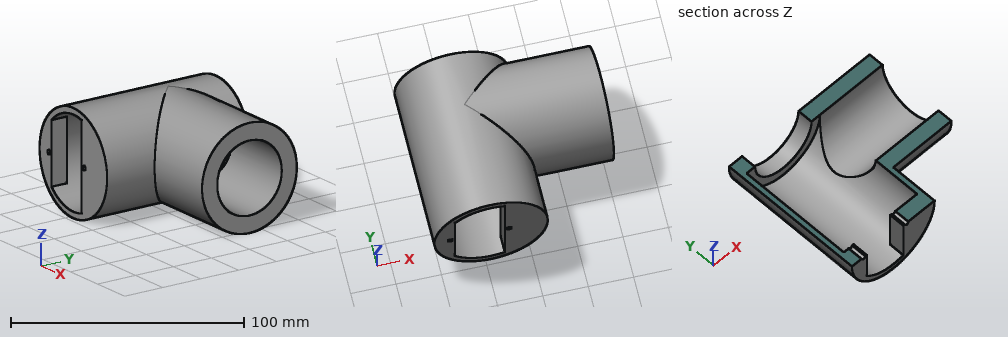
import cadquery as cq

outer_diameter = 50.0
bore_diameter = 44.0
opening_diameter = 34.0
main_length = 75.0
branch_reach = 60.0
branch_center_y = main_length - outer_diameter / 2

end_plate_thickness = 8.0

window_width = 22.0
window_center_x = -5.0
screw_hole_diameter = 2.0
screw_hole_spacing = 26.0


def cylinder_along_y(diameter, start_y, length, x=0.0):
    """Cylinder with its axis parallel to Y, running toward +Y from start_y."""
    base = cq.Workplane("XZ", origin=(x, start_y, 0))
    return base.circle(diameter / 2).extrude(-length)


def branch_cylinder(diameter):
    """Cylinder on the branch axis, from the main axis to the branch end."""
    base = cq.Workplane("YZ", origin=(0, branch_center_y, 0))
    return base.circle(diameter / 2).extrude(branch_reach)


def outer_body():
    main = cylinder_along_y(outer_diameter, 0, main_length)
    return main.union(branch_cylinder(outer_diameter))


def main_bore():
    """Bore between the two end plates."""
    bore_length = main_length - 2 * end_plate_thickness
    return cylinder_along_y(bore_diameter, end_plate_thickness, bore_length)


def window():
    """Slice of the bore profile between two flat sides, through the front plate."""
    profile = cylinder_along_y(bore_diameter, 0, end_plate_thickness)
    slab = cq.Workplane("XY").box(
        window_width, end_plate_thickness, bore_diameter, centered=(True, False, True)
    )
    return profile.intersect(slab.translate((window_center_x, 0, 0)))


def rear_opening():
    start_y = main_length - end_plate_thickness
    return cylinder_along_y(opening_diameter, start_y, end_plate_thickness)


def screw_hole(side):
    """Hole through the front plate; side is -1 or +1 in X from the window center."""
    x = window_center_x + side * screw_hole_spacing / 2
    return cylinder_along_y(screw_hole_diameter, 0, end_plate_thickness, x)


main_cavity = main_bore().union(window()).clean()
result = outer_body().cut(main_cavity)
result = result.cut(branch_cylinder(opening_diameter))
result = result.cut(rear_opening())
for side in (-1, 1):
    result = result.cut(screw_hole(side))